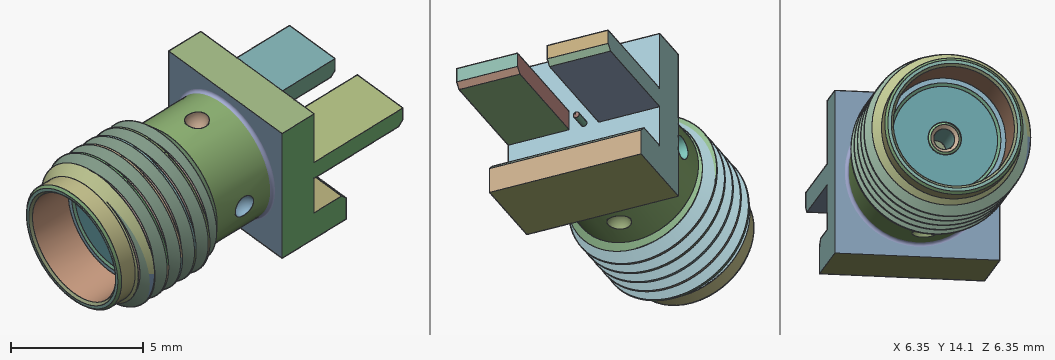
import cadquery as cq
import math


flange_width = 6.35
flange_thickness = 1.65
leg_gap = 1.24
leg_length = 4.56
leg_top = 0.71
leg_thickness = 0.82
leg_chamfer = 0.22
ledge_length = 1.65
ledge_height = 1.32
ledge_chamfer = 0.25

barrel_length = 7.87
barrel_radius = 5.32 / 2
root_fillet = 0.13
rim_chamfer = 0.1
socket_radius = 4.66 / 2
socket_depth = 1.94
bore_radius = 4.05 / 2
bore_mouth_radius = 4.28 / 2
bore_mouth_depth = 0.075
insulator_front = barrel_length - socket_depth - bore_mouth_depth

thread_radius = 6.35 / 2
thread_pitch = 25.4 / 36
thread_start = 2.86
thread_end = 7.07
thread_flat = thread_pitch / 8
flank_angle = 30
groove_depth = (thread_pitch / 2 - thread_flat) / math.tan(math.radians(flank_angle))
groove_root_radius = thread_radius - groove_depth
groove_clearance = 0.04
groove_start = 2.91
groove_start_angle = 112
groove_length = thread_end + thread_pitch / 2 - groove_start

dimple_count = 4
dimple_radius = 0.94 / 2
dimple_position = 1.46

contact_radius = 1.27 / 2
contact_tip_radius = 1.08 / 2
contact_tip_chamfer = contact_radius - contact_tip_radius
contact_hole_radius = 0.8 / 2
contact_hole_depth = 2.0
tail_radius = 0.25 / 2
tail_length = 0.78
tail_chamfer = 0.1


def along_connector(body):
    """Turn a body built along +Z from the origin so that it runs along -Y."""
    return body.rotate((0, 0, 0), (1, 0, 0), 90)


def revolve_profile(profile):
    """Spin an (r, z) profile about the Z axis."""
    return profile.close().revolve(360, (0, 0, 0), (0, 1, 0))


def make_flange():
    half_width = flange_width / 2
    leg_bottom = leg_top - leg_thickness
    ledge_top = ledge_height - half_width
    leg_end = flange_thickness + leg_length
    ledge_end = flange_thickness + ledge_length
    block = (
        cq.Workplane("YZ")
        .moveTo(0, -half_width)
        .lineTo(ledge_end, -half_width)
        .lineTo(ledge_end, ledge_top - ledge_chamfer)
        .lineTo(ledge_end - ledge_chamfer, ledge_top)
        .lineTo(flange_thickness, ledge_top)
        .lineTo(flange_thickness, leg_bottom)
        .lineTo(leg_end - leg_chamfer, leg_bottom)
        .lineTo(leg_end, leg_bottom + leg_chamfer)
        .lineTo(leg_end, leg_top)
        .lineTo(flange_thickness, leg_top)
        .lineTo(flange_thickness, half_width)
        .lineTo(0, half_width)
        .close()
        .extrude(half_width, both=True)
    )
    leg_slot = cq.Workplane("XY").box(
        leg_gap, leg_length, leg_thickness, centered=(True, False, False)
    ).translate((0, flange_thickness, leg_bottom))
    return block.cut(leg_slot)


def make_thread_groove():
    """Helical cutter with a flat root, slightly taller than the thread."""
    outer_radius = thread_radius + groove_clearance
    half_root = thread_flat / 2
    half_mouth = half_root + (outer_radius - groove_root_radius) * math.tan(math.radians(flank_angle))
    helix = cq.Wire.makeHelix(thread_pitch, groove_length, groove_root_radius)
    groove = (
        cq.Workplane("XZ")
        .moveTo(groove_root_radius, -half_root)
        .lineTo(outer_radius, -half_mouth)
        .lineTo(outer_radius, half_mouth)
        .lineTo(groove_root_radius, half_root)
        .close()
        .sweep(cq.Workplane("XY").add(helix), isFrenet=True)
    )
    return groove.rotate((0, 0, 0), (0, 0, 1), groove_start_angle).translate((0, 0, groove_start))


def make_barrel():
    thread_chamfer = thread_radius - barrel_radius
    fillet_mid = root_fillet * (1 - math.sqrt(0.5))
    barrel = revolve_profile(
        cq.Workplane("XZ")
        .lineTo(barrel_radius + root_fillet, 0)
        .threePointArc((barrel_radius + fillet_mid, fillet_mid), (barrel_radius, root_fillet))
        .lineTo(barrel_radius, thread_start)
        .lineTo(thread_radius, thread_start + thread_chamfer)
        .lineTo(thread_radius, thread_end - thread_chamfer)
        .lineTo(barrel_radius, thread_end)
        .lineTo(barrel_radius, barrel_length - rim_chamfer)
        .lineTo(barrel_radius - rim_chamfer, barrel_length)
        .lineTo(0, barrel_length)
    )
    grooved_rod = cq.Workplane("XY").circle(thread_radius).extrude(barrel_length).cut(make_thread_groove())
    barrel = barrel.intersect(grooved_rod)
    for index in range(dimple_count):
        dimple = cq.Workplane("XY").sphere(dimple_radius)
        dimple = dimple.translate((barrel_radius, 0, dimple_position))
        barrel = barrel.cut(dimple.rotate((0, 0, 0), (0, 0, 1), index * 360 / dimple_count))
    return along_connector(barrel)


def make_housing_bore():
    """Open socket at the mating end, then the chamfered bore that holds the insulator."""
    shoulder = barrel_length - socket_depth
    bore = revolve_profile(
        cq.Workplane("XZ")
        .lineTo(bore_radius, 0)
        .lineTo(bore_radius, insulator_front)
        .lineTo(bore_mouth_radius, shoulder)
        .lineTo(socket_radius, shoulder)
        .lineTo(socket_radius, barrel_length - rim_chamfer)
        .lineTo(socket_radius + rim_chamfer, barrel_length)
        .lineTo(0, barrel_length)
    )
    return along_connector(bore)


def make_housing():
    tail_hole = along_connector(
        cq.Workplane("XY").workplane(offset=-flange_thickness).circle(tail_radius).extrude(flange_thickness)
    )
    return make_flange().union(make_barrel()).cut(make_housing_bore()).cut(tail_hole)


def make_insulator():
    ring = cq.Workplane("XY").circle(bore_radius).circle(contact_radius).extrude(insulator_front)
    return along_connector(ring)


def make_contact():
    """Female contact with a countersunk mouth and a thin solder tail."""
    tail_end = -flange_thickness - tail_length
    countersink = contact_tip_radius - contact_hole_radius
    contact = revolve_profile(
        cq.Workplane("XZ")
        .moveTo(0, tail_end)
        .lineTo(tail_radius - tail_chamfer, tail_end)
        .lineTo(tail_radius, tail_end + tail_chamfer)
        .lineTo(tail_radius, 0)
        .lineTo(contact_radius, 0)
        .lineTo(contact_radius, insulator_front - contact_tip_chamfer)
        .lineTo(contact_tip_radius, insulator_front)
        .lineTo(contact_hole_radius, insulator_front - countersink)
        .lineTo(contact_hole_radius, insulator_front - contact_hole_depth)
        .lineTo(0, insulator_front - contact_hole_depth)
    )
    return along_connector(contact)


housing = make_housing()
insulator = make_insulator()
contact = make_contact()

result = cq.Compound.makeCompound([housing.solids().val(), insulator.val(), contact.val()])